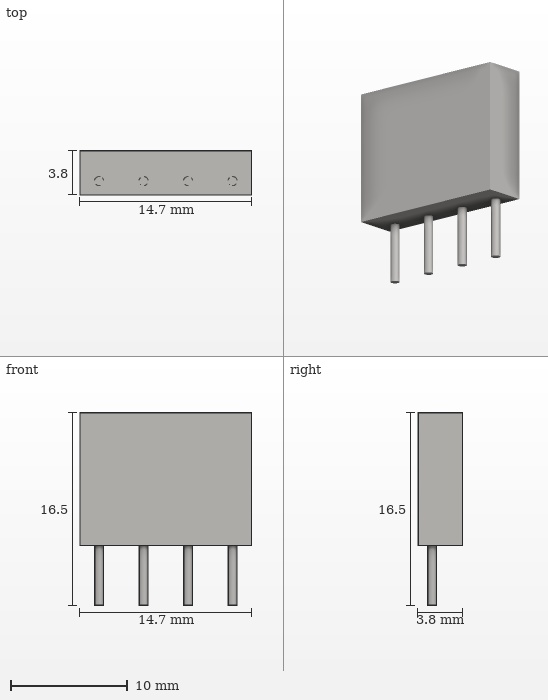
import cadquery as cq

case_length = 14.7
case_width = 3.8
case_height = 11.4

total_height = 16.5
pin_length = total_height - case_height
pin_diameter = 0.78
pin_count = 4
pin_pitch = 3.81
pin_to_front_face = 1.2
pin_row_y = pin_to_front_face - case_width / 2


def make_case():
    """Plain block whose underside is at Z = 0."""
    return cq.Workplane("XY").box(
        case_length, case_width, case_height, centered=(True, True, False)
    )


def make_pin(x):
    """Round lead hanging from the underside of the case."""
    return (
        cq.Workplane("XY")
        .center(x, pin_row_y)
        .circle(pin_diameter / 2)
        .extrude(-pin_length)
    )


case = make_case()

pins = []
for index in range(pin_count):
    pin_x = (index - (pin_count - 1) / 2) * pin_pitch
    pins.append(make_pin(pin_x))

result = cq.Compound.makeCompound([case.val(), *[pin.val() for pin in pins]])